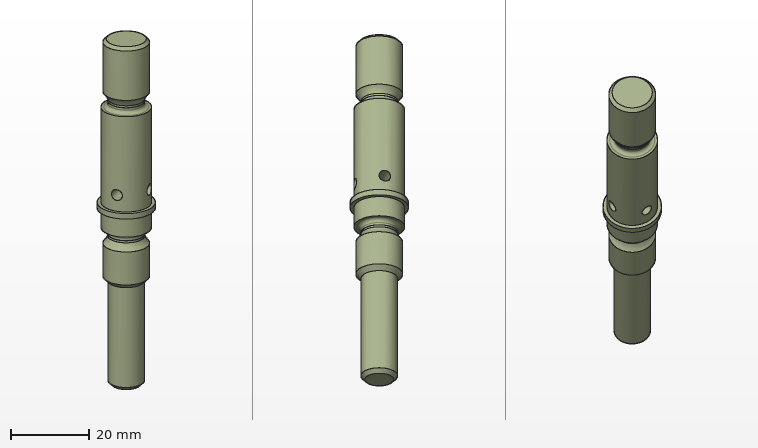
import cadquery as cq
import math

HEAD_DIAMETER = 12.0
BODY_DIAMETER = 13.0
FLANGE_DIAMETER = 15.0
NECK_DIAMETER = 9.5
RELIEF_DIAMETER = 9.4
PIN_DIAMETER = RELIEF_DIAMETER

TOTAL_LENGTH = 96.0
COLLAR_BOTTOM = 28.8
COLLAR_TOP = 39.3
BODY_BOTTOM = 43.6
FLANGE_BOTTOM = 49.1
FLANGE_THICKNESS = 1.5
BODY_TOP = 77.1
HEAD_BOTTOM = 81.4

TIP_CHAMFER = 1.1
HEAD_CHAMFER = 0.9
FLARE_HEIGHT = 2.0
FLARE_SAG = 0.14
NECK_LAND = 0.6
BODY_FILLET = 1.1

CROSS_HOLE_DIAMETER = 3.0
CROSS_HOLE_HEIGHT = 55.1

head_radius = HEAD_DIAMETER / 2
body_radius = BODY_DIAMETER / 2
neck_radius = NECK_DIAMETER / 2
relief_radius = RELIEF_DIAMETER / 2
collar_chamfer = (HEAD_DIAMETER - PIN_DIAMETER) / 2


def cylinder(diameter, bottom, top):
    """Solid cylinder on the Z axis between two heights."""
    return cq.Workplane("XY").workplane(offset=bottom).circle(diameter / 2).extrude(top - bottom)


def neck(wide_end, body_end):
    """Revolved neck: a concave flare at the wide end, two lands, and a fillet into the body face."""
    toward_body = math.copysign(1, body_end - wide_end)
    flare_end = wide_end + toward_body * FLARE_HEIGHT
    land_end = flare_end + toward_body * NECK_LAND
    fillet_start = body_end - toward_body * BODY_FILLET

    flare_rise = head_radius - neck_radius
    flare_chord = math.hypot(flare_rise, FLARE_HEIGHT)
    flare_middle = (
        (head_radius + neck_radius) / 2 - FLARE_SAG * FLARE_HEIGHT / flare_chord,
        (wide_end + flare_end) / 2 - toward_body * FLARE_SAG * flare_rise / flare_chord,
    )
    fillet_offset = BODY_FILLET * math.sqrt(0.5)
    fillet_middle = (
        relief_radius + BODY_FILLET - fillet_offset,
        fillet_start + toward_body * fillet_offset,
    )

    return (
        cq.Workplane("XZ")
        .moveTo(0, wide_end)
        .lineTo(head_radius, wide_end)
        .threePointArc(flare_middle, (neck_radius, flare_end))
        .lineTo(neck_radius, land_end)
        .lineTo(relief_radius, land_end)
        .lineTo(relief_radius, fillet_start)
        .threePointArc(fillet_middle, (relief_radius + BODY_FILLET, body_end))
        .lineTo(0, body_end)
        .close()
        .revolve(360, (0, 0), (0, 1))
    )


def cross_hole(plane):
    """Cutter running through the whole body, normal to the given vertical plane."""
    return (
        cq.Workplane(plane)
        .center(0, CROSS_HOLE_HEIGHT)
        .circle(CROSS_HOLE_DIAMETER / 2)
        .extrude(body_radius + 1, both=True)
    )


pin = cylinder(PIN_DIAMETER, 0, COLLAR_BOTTOM).faces("<Z").chamfer(TIP_CHAMFER)
collar = cylinder(HEAD_DIAMETER, COLLAR_BOTTOM, COLLAR_TOP)
collar = collar.faces("<Z").chamfer(collar_chamfer)
body = cylinder(BODY_DIAMETER, BODY_BOTTOM, BODY_TOP)
flange = cylinder(FLANGE_DIAMETER, FLANGE_BOTTOM, FLANGE_BOTTOM + FLANGE_THICKNESS)
head = cylinder(HEAD_DIAMETER, HEAD_BOTTOM, TOTAL_LENGTH).faces(">Z").chamfer(HEAD_CHAMFER)

lower_neck = neck(COLLAR_TOP, BODY_BOTTOM)
upper_neck = neck(HEAD_BOTTOM, BODY_TOP)

result = pin
for section in (collar, lower_neck, body, flange, upper_neck, head):
    result = result.union(section)

for hole_plane in ("XZ", "YZ"):
    result = result.cut(cross_hole(hole_plane))